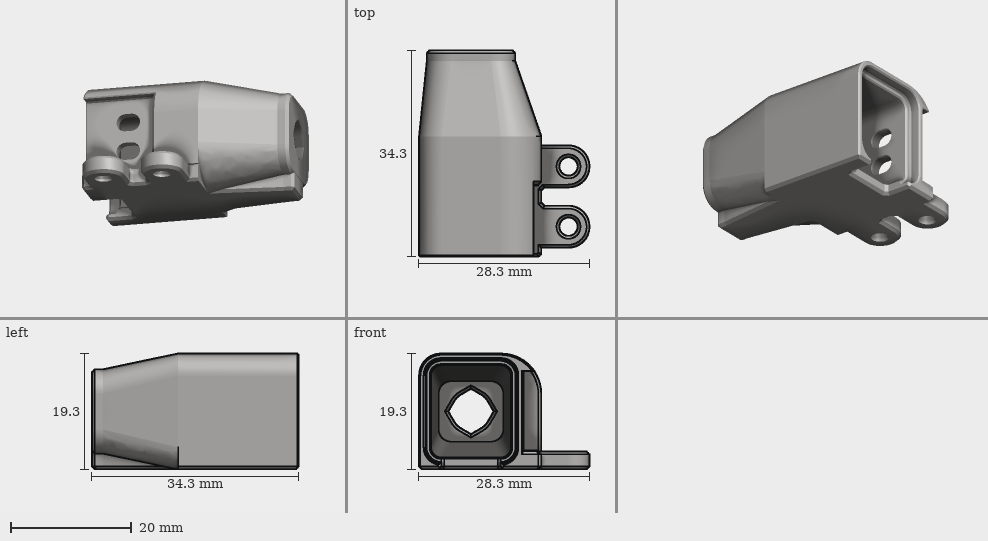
import cadquery as cq
import math

WALL = 2.0
CAVITY_HALF_WIDTH = 6.63
CAVITY_HALF_HEIGHT = 7.63
CAVITY_RADIUS = 1.7
SIDE_EXTRA = 3.05
AXIS_Z = CAVITY_HALF_HEIGHT + WALL
LEFT_X = -(CAVITY_HALF_WIDTH + WALL)
RIGHT_X = CAVITY_HALF_WIDTH + WALL + SIDE_EXTRA
LEFT_RADIUS = CAVITY_RADIUS + WALL
RIGHT_RADIUS = LEFT_RADIUS + SIDE_EXTRA
FLAT_HALF_WIDTH = CAVITY_HALF_WIDTH - CAVITY_RADIUS

BODY_LENGTH = 20.0
TAPER_END_Y = 32.5
LENGTH = 34.31
CAP_HALF_WIDTH = 7.35
CAP_HALF_HEIGHT = 7.0
CAP_RADIUS = 4.0
CAP_FLAT_HALF_WIDTH = CAP_HALF_WIDTH - CAP_RADIUS
FUNNEL_END_Y = LENGTH - WALL

CHAMFER = 0.5
SMALL_CHAMFER = 0.25
BEVEL_ANGLE = 45.0

PLATE_THICKNESS = 3.0
EAR_RADIUS = 3.5
EAR_REACH = 4.5
EAR_HOLE_Y = (5.0, 15.0)
EAR_HOLE_RADIUS = 1.5

RECESS_STEP = 1.0
RECESS_DEPTH = 2.0

NOTCH_DEPTH = 4.95

POCKET_X = 8.58
POCKET_TOP = AXIS_Z + CAVITY_HALF_WIDTH
POCKET_LENGTH = 12.0
POCKET_END_CHAMFER = 0.2
POCKET_FRONT_BREAK = 0.12
SLOT_SPACING = 5.0
SLOT_Y = 7.3
SLOT_LENGTH = 4.0
SLOT_MOUTH_CHAMFER = 0.15
SLOT_HEIGHT = 3.0

CABLE_RADIUS = 3.25
POINT_HALF_ANGLE = 30.0

OVERLAP = 1.0


def section(y, left, right, half_height, left_radius, right_radius):
    """Rounded rectangle across Y, centred on the axis height, with its own radius on each side."""
    bottom = AXIS_Z - half_height
    top = AXIS_Z + half_height
    corners = (
        (right - right_radius, bottom + right_radius, right_radius, -90),
        (right - right_radius, top - right_radius, right_radius, 0),
        (left + left_radius, top - left_radius, left_radius, 90),
        (left + left_radius, bottom + left_radius, left_radius, 180),
    )
    edges = []
    previous = cq.Vector(left + left_radius, y, bottom)
    for centre_x, centre_z, radius, start_angle in corners:
        start, middle, end = (
            cq.Vector(
                centre_x + radius * math.cos(math.radians(start_angle + turn)),
                y,
                centre_z + radius * math.sin(math.radians(start_angle + turn)))
            for turn in (0, 45, 90))
        edges.append(cq.Edge.makeLine(previous, start))
        edges.append(cq.Edge.makeThreePointArc(start, middle, end))
        previous = end
    return cq.Wire.assembleEdges(edges)


def even_section(y, half_width, half_height, radius):
    return section(y, -half_width, half_width, half_height, radius, radius)


def prism(wire, length):
    return cq.Workplane(cq.Solid.extrudeLinear(wire, [], cq.Vector(0, length, 0)))


def ruled_loft(front, back):
    return cq.Workplane(cq.Solid.makeLoft([front, back], True))


def box(x0, x1, y0, y1, z0, z1):
    return cq.Workplane(cq.Solid.makeBox(x1 - x0, y1 - y0, z1 - z0, cq.Vector(x0, y0, z0)))


def body_section(y):
    return section(y, LEFT_X, RIGHT_X, AXIS_Z, LEFT_RADIUS, RIGHT_RADIUS)


def make_body():
    """Straight housing with a square lower half, the side pocket and room for the plate."""
    rounded = prism(body_section(0), BODY_LENGTH)
    square_base = box(LEFT_X, RIGHT_X, 0, BODY_LENGTH, 0, AXIS_Z)
    plate_space = box(POCKET_X, RIGHT_X, 0, BODY_LENGTH, 0, PLATE_THICKNESS)
    body = rounded.union(square_base)
    body = body.faces("<Z").edges("<X or <Y").chamfer(CHAMFER)
    body = body.faces("<Y").edges("not <Z").chamfer(SMALL_CHAMFER)
    body = body.cut(make_pocket())
    end_edges = cq.selectors.BoxSelector(
        (RIGHT_X - OVERLAP, POCKET_LENGTH - SMALL_CHAMFER, PLATE_THICKNESS),
        (RIGHT_X + OVERLAP, POCKET_LENGTH + SMALL_CHAMFER, POCKET_TOP))
    body = body.edges(end_edges).chamfer(CHAMFER)
    roof_edges = cq.selectors.BoxSelector(
        (POCKET_X, SMALL_CHAMFER, POCKET_TOP - SMALL_CHAMFER),
        (RIGHT_X, POCKET_LENGTH - SMALL_CHAMFER, POCKET_TOP + SMALL_CHAMFER))
    body = body.edges(roof_edges).edges("|Y and >X").chamfer(SMALL_CHAMFER)
    return body.cut(plate_space).union(make_pocket_bevel())


def make_pocket():
    """Cutter for the side pocket, open to the front and to +X."""
    floor_z = PLATE_THICKNESS - CHAMFER
    break_x = POCKET_X - POCKET_FRONT_BREAK
    break_top = POCKET_TOP + POCKET_FRONT_BREAK
    outer_x = RIGHT_X + OVERLAP
    pocket = box(POCKET_X, outer_x, -OVERLAP, POCKET_LENGTH, floor_z, POCKET_TOP)
    pocket = pocket.edges("|Y and <X and >Z").chamfer(SMALL_CHAMFER)
    pocket = pocket.faces(">Y").edges("<X").chamfer(POCKET_END_CHAMFER)
    front_break = cq.Workplane("XZ").polyline([
        (break_x, floor_z),
        (break_x, break_top),
        (outer_x, break_top),
        (outer_x, floor_z),
    ]).close().extrude(-POCKET_FRONT_BREAK, taper=BEVEL_ANGLE)
    return pocket.union(front_break)


def make_pocket_bevel():
    """Bevel where the end face of the pocket meets the plate."""
    profile = [
        (POCKET_LENGTH - POCKET_END_CHAMFER, PLATE_THICKNESS),
        (POCKET_LENGTH, PLATE_THICKNESS),
        (POCKET_LENGTH, PLATE_THICKNESS + POCKET_END_CHAMFER),
    ]
    bevel = cq.Workplane("YZ", origin=(POCKET_X, 0, 0)).polyline(profile).close()
    return bevel.extrude(RIGHT_X - CHAMFER - POCKET_X)


def make_plate():
    """Mounting plate along the +X side with its two rounded ears."""
    ear_x = RIGHT_X + EAR_REACH
    plate = box(POCKET_X, RIGHT_X, 0, BODY_LENGTH, 0, PLATE_THICKNESS)
    for y in EAR_HOLE_Y:
        ear = box(POCKET_X, ear_x, y - EAR_RADIUS, y + EAR_RADIUS, 0, PLATE_THICKNESS)
        tip = cq.Workplane().center(ear_x, y).circle(EAR_RADIUS).extrude(PLATE_THICKNESS)
        plate = plate.union(ear).union(tip)
    gap_start = EAR_HOLE_Y[0] + EAR_RADIUS
    gap_end = EAR_HOLE_Y[1] - EAR_RADIUS
    for y in (0, gap_start, gap_end):
        corner = cq.selectors.NearestToPointSelector((RIGHT_X, y, PLATE_THICKNESS / 2))
        plate = plate.edges("|Z").edges(corner).chamfer(CHAMFER)
    plate = plate.faces("<Z or >Z").edges("not (<X or >Y)").chamfer(CHAMFER)
    return plate


def make_foot():
    """Support under the taper, as wide as the flat of the taper's underside."""
    outline = [
        (-FLAT_HALF_WIDTH, BODY_LENGTH),
        (-CAP_FLAT_HALF_WIDTH, TAPER_END_Y),
        (-CAP_FLAT_HALF_WIDTH, LENGTH),
        (CAP_FLAT_HALF_WIDTH, LENGTH),
        (CAP_FLAT_HALF_WIDTH, TAPER_END_Y),
        (FLAT_HALF_WIDTH, BODY_LENGTH),
    ]
    foot = cq.Workplane().polyline(outline).close().extrude(PLATE_THICKNESS)
    foot = foot.edges("|Z and >Y").chamfer(CHAMFER)
    return foot.faces("<Z").edges("not <Y").chamfer(CHAMFER)


def make_tail():
    """Taper, end cap and the foot below them."""
    cap_wire = even_section(TAPER_END_Y, CAP_HALF_WIDTH, CAP_HALF_HEIGHT, CAP_RADIUS)
    taper = ruled_loft(body_section(BODY_LENGTH), cap_wire)
    cap = prism(cap_wire, LENGTH - TAPER_END_Y)
    cap = cap.faces(">Y").chamfer(CHAMFER)
    return taper.union(cap).union(make_foot())


def make_cavity():
    """Cutter for the cavity: stepped mouth, straight stretch and funnel."""
    mouth = (CAVITY_HALF_WIDTH, CAVITY_HALF_HEIGHT, CAVITY_RADIUS)

    def grown(y, growth):
        return even_section(y, *(size + growth for size in mouth))

    cap_sizes = (CAP_HALF_WIDTH, CAP_HALF_HEIGHT, CAP_RADIUS)
    floor_wire = even_section(FUNNEL_END_Y, *(size - WALL for size in cap_sizes))
    cavity = prism(even_section(0, *mouth), BODY_LENGTH)
    cavity = cavity.union(ruled_loft(even_section(BODY_LENGTH, *mouth), floor_wire))
    recess_edge = RECESS_DEPTH - SMALL_CHAMFER
    cavity = cavity.union(prism(grown(0, RECESS_STEP), recess_edge))
    for start, end, growth, end_growth in (
        (0, SMALL_CHAMFER, RECESS_STEP + SMALL_CHAMFER, RECESS_STEP),
        (recess_edge, RECESS_DEPTH, RECESS_STEP, RECESS_STEP - SMALL_CHAMFER),
        (RECESS_DEPTH, RECESS_DEPTH + SMALL_CHAMFER, SMALL_CHAMFER, 0),
    ):
        cavity = cavity.union(ruled_loft(grown(start, growth), grown(end, end_growth)))
    return cavity


def cable_hole_wire(y, radius):
    """Circle of the given radius with four points whose flanks are tangent to it."""
    tip = radius / math.cos(math.radians(POINT_HALF_ANGLE))

    def at(distance, angle):
        turn = math.radians(angle)
        return cq.Vector(distance * math.cos(turn), y, AXIS_Z + distance * math.sin(turn))

    edges = []
    for start in range(0, 360, 90):
        first = at(radius, start + POINT_HALF_ANGLE)
        second = at(radius, start + 90 - POINT_HALF_ANGLE)
        edges.append(cq.Edge.makeLine(at(tip, start), first))
        edges.append(cq.Edge.makeThreePointArc(first, at(radius, start + 45), second))
        edges.append(cq.Edge.makeLine(second, at(tip, start + 90)))
    return cq.Wire.assembleEdges(edges)


def make_cable_hole():
    """Cutter for the cable hole, countersunk on the cavity side."""
    hole = prism(cable_hole_wire(FUNNEL_END_Y, CABLE_RADIUS), LENGTH)
    countersink = ruled_loft(
        cable_hole_wire(FUNNEL_END_Y, CABLE_RADIUS + CHAMFER),
        cable_hole_wire(FUNNEL_END_Y + CHAMFER, CABLE_RADIUS))
    return hole.union(countersink)


def make_notch():
    """Floor opening with flared front corners and broken lower and upper edges."""
    corners = [
        (-FLAT_HALF_WIDTH, -OVERLAP),
        (-FLAT_HALF_WIDTH, NOTCH_DEPTH - CHAMFER),
        (-FLAT_HALF_WIDTH + CHAMFER, NOTCH_DEPTH),
        (FLAT_HALF_WIDTH - CHAMFER, NOTCH_DEPTH),
        (FLAT_HALF_WIDTH, NOTCH_DEPTH - CHAMFER),
        (FLAT_HALF_WIDTH, -OVERLAP),
    ]

    def flared(z, height):
        """Outline widened at the given plane and tapering back to size over the height."""
        outline = cq.Workplane(origin=(0, 0, z)).polyline(corners).close()
        return outline.offset2D(abs(height), "intersection").extrude(height, taper=BEVEL_ANGLE)

    notch = cq.Workplane().polyline(corners).close().extrude(WALL + OVERLAP)
    notch = notch.union(flared(0, CHAMFER)).union(flared(WALL, -SMALL_CHAMFER))
    front_flare = cq.Workplane().polyline([
        (-FLAT_HALF_WIDTH - CHAMFER, 0),
        (FLAT_HALF_WIDTH + CHAMFER, 0),
        (FLAT_HALF_WIDTH, CHAMFER),
        (-FLAT_HALF_WIDTH, CHAMFER),
    ]).close().extrude(WALL)
    return notch.union(front_flare)


def make_wire_slots():
    """Slots from the cavity into the pocket, with a chamfered mouth on the cavity side."""
    start = cq.Workplane("YZ", origin=(CAVITY_HALF_WIDTH, SLOT_Y, AXIS_Z))
    start = start.pushPoints([(0, -SLOT_SPACING / 2), (0, SLOT_SPACING / 2)])
    mouth_growth = 2 * SLOT_MOUTH_CHAMFER
    bores = start.slot2D(SLOT_LENGTH, SLOT_HEIGHT).extrude(POCKET_X + OVERLAP - CAVITY_HALF_WIDTH)
    mouths = start.slot2D(SLOT_LENGTH + mouth_growth, SLOT_HEIGHT + mouth_growth)
    return bores.union(mouths.extrude(SLOT_MOUTH_CHAMFER, taper=BEVEL_ANGLE))


def make_ear_holes():
    """Cutters for the ear holes, countersunk on top."""
    top = cq.Workplane(origin=(RIGHT_X + EAR_REACH, 0, PLATE_THICKNESS))
    top = top.pushPoints([(0, y) for y in EAR_HOLE_Y])
    countersinks = top.circle(EAR_HOLE_RADIUS + CHAMFER).extrude(-CHAMFER, taper=BEVEL_ANGLE)
    bores = top.circle(EAR_HOLE_RADIUS).extrude(-PLATE_THICKNESS)
    return countersinks.union(bores)


housing = make_body().union(make_plate()).union(make_tail())
for cutter in (make_notch(), make_cavity(), make_cable_hole(), make_wire_slots(), make_ear_holes()):
    housing = housing.cut(cutter)
result = housing